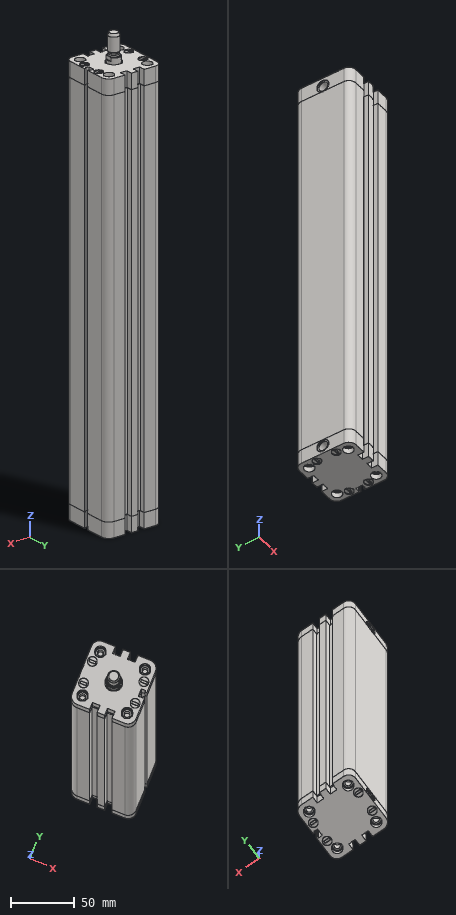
import cadquery as cq

side = 54.8
total_length = 421.0
rod_projection = 25.5
body_length = total_length - rod_projection
cap_height = 14.2
corner_radius = 6.9

groove_inner_edge = 3.2
groove_outer_edge = 9.5
tube_groove_depth = 5.1
cap_groove_depth = tube_groove_depth + 0.9

sensor_slot_width = 6.4
sensor_slot_depth = 5.1
sensor_mouth_width = 3.9
sensor_lip = 1.6

bore_diameter = 40.0
piston_height = 20.0
rod_diameter = 12.0
seal_diameter = 14.0
seal_depth = 2.0
flat_spacing = 10.0
flat_start = 2.4
shoulder_height = 5.8
shoulder_chamfer = 0.5
thread_diameter = 10.0
thread_relief_diameter = 9.0
thread_relief_height = 1.3
thread_relief_taper = 1.25
thread_tip_diameter = 7.9
thread_tip_length = 2.6

mount_offset = 19.0
mount_bore_diameter = 9.0
mount_bore_depth = 5.0
mount_step_diameter = 7.5
mount_step_depth = 6.0
mount_thread_diameter = 4.92

screw_offset_x = 22.0
screw_offset_y = 9.4
screw_recess_diameter = 7.7
screw_recess_depth = 1.0
screw_slot_length = 5.2
screw_slot_width = 2.0
screw_slot_bottom = 2.0

port_diameter = 8.57
port_mouth_diameter = 11.4
port_mouth_depth = 1.0
port_core_diameter = 40.0
port_distance_from_end = 8.3

half_side = side / 2


def cylinder(diameter, bottom, height):
    """Cylinder on the Z axis."""
    return cq.Workplane("XY", origin=(0, 0, bottom)).circle(diameter / 2).extrude(height)


def profile(height, groove_depth):
    """Square bar standing on Z = 0, with its paired grooves and sensor slot."""
    bar = cq.Workplane("XY").rect(side, side).extrude(height).edges("|Z").fillet(corner_radius)

    groove_width = groove_outer_edge - groove_inner_edge
    groove_center = (groove_outer_edge + groove_inner_edge) / 2
    grooves = (
        cq.Workplane("XY")
        .rect(2 * groove_center, side, forConstruction=True)
        .vertices()
        .rect(groove_width, 2 * groove_depth)
        .extrude(height)
    )

    mouth = (
        cq.Workplane("XY")
        .center(half_side, 0)
        .rect(2 * sensor_slot_depth, sensor_mouth_width)
        .extrude(height)
    )
    chamber_depth = sensor_slot_depth - sensor_lip
    chamber = (
        cq.Workplane("XY")
        .center(half_side - sensor_lip - chamber_depth / 2, 0)
        .rect(chamber_depth, sensor_slot_width)
        .extrude(height)
    )
    return bar.cut(grooves).cut(mouth).cut(chamber)


def cap_points(offset_x, offset_y):
    """Four points around the axis on the outer face of a cap."""
    return (
        cq.Workplane("XY", origin=(0, 0, cap_height))
        .rect(2 * offset_x, 2 * offset_y, forConstruction=True)
        .vertices()
    )


def cut_mounts(cap):
    """Bore near each corner, stepping down to the thread size and passing through the cap."""
    points = cap_points(mount_offset, mount_offset)
    steps = [
        (mount_bore_diameter, mount_bore_depth),
        (mount_step_diameter, mount_step_depth),
        (mount_thread_diameter, cap_height),
    ]
    for diameter, depth in steps:
        cap = cap.cut(points.circle(diameter / 2).extrude(-depth))
    return cap


def cut_screw_recesses(cap):
    """Shallow round recesses with a screwdriver slot in each floor."""
    points = cap_points(screw_offset_x, screw_offset_y)
    recesses = points.circle(screw_recess_diameter / 2).extrude(-screw_recess_depth)
    slots = points.rect(screw_slot_length, screw_slot_width).extrude(-screw_slot_bottom)
    return cap.cut(recesses).cut(slots)


def cut_port(cap):
    """Air port in the -X face; its floor is the side of the round core."""
    port_height = cap_height - port_distance_from_end
    face = cq.Workplane("YZ", origin=(-half_side, 0, port_height))
    core = cylinder(port_core_diameter, 0, cap_height)
    bore = face.circle(port_diameter / 2).extrude(half_side).cut(core)
    mouth = face.circle(port_mouth_diameter / 2).extrude(port_mouth_depth)
    return cap.cut(bore).cut(mouth)


def end_cap():
    """Cap with its inner face at Z = 0 and its outer face upward."""
    cap = profile(cap_height, cap_groove_depth)
    cap = cut_mounts(cap)
    cap = cut_screw_recesses(cap)
    return cut_port(cap)


def make_bottom_cap():
    return end_cap().mirror("XY").translate((0, 0, cap_height))


def make_top_cap():
    """End cap with a rod passage and a seal recess around it."""
    cap = end_cap().translate((0, 0, body_length - cap_height))
    passage = cylinder(rod_diameter, 0, total_length)
    seal_recess = cylinder(seal_diameter, body_length - seal_depth, seal_depth)
    return cap.cut(passage).cut(seal_recess)


def make_tube():
    tube = profile(body_length - 2 * cap_height, tube_groove_depth).translate((0, 0, cap_height))
    return tube.cut(cylinder(bore_diameter, 0, body_length))


def make_piston_rod():
    """Piston resting on the bottom cap, with a rod that has two flats and a threaded end."""
    piston_top = cap_height + piston_height
    shoulder = body_length + shoulder_height
    relief_bottom = shoulder + thread_relief_taper
    relief_top = relief_bottom + thread_relief_height
    bore_radius = bore_diameter / 2
    rod_radius = rod_diameter / 2
    thread_radius = thread_diameter / 2
    relief_radius = thread_relief_diameter / 2

    rod = (
        cq.Workplane("XZ")
        .moveTo(0, cap_height)
        .lineTo(bore_radius, cap_height)
        .lineTo(bore_radius, piston_top)
        .lineTo(rod_radius, piston_top)
        .lineTo(rod_radius, shoulder - shoulder_chamfer)
        .lineTo(rod_radius - shoulder_chamfer, shoulder)
        .lineTo(thread_radius, shoulder)
        .lineTo(relief_radius, relief_bottom)
        .lineTo(relief_radius, relief_top)
        .lineTo(thread_radius, relief_top + thread_relief_taper)
        .lineTo(thread_radius, total_length - thread_tip_length)
        .lineTo(thread_tip_diameter / 2, total_length)
        .lineTo(0, total_length)
        .close()
        .revolve(360, (0, 0, 0), (0, 1, 0))
    )

    for x_side in (-1, 1):
        flat_cut = (
            cq.Workplane("XY", origin=(0, 0, body_length + flat_start))
            .center(x_side * (flat_spacing + rod_diameter) / 2, 0)
            .rect(rod_diameter, rod_diameter)
            .extrude(shoulder_height - flat_start)
        )
        rod = rod.cut(flat_cut)
    return rod


bottom_cap = make_bottom_cap()
tube = make_tube()
top_cap = make_top_cap()
piston_rod = make_piston_rod()

result = cq.Compound.makeCompound([bottom_cap.val(), tube.val(), top_cap.val(), piston_rod.val()])